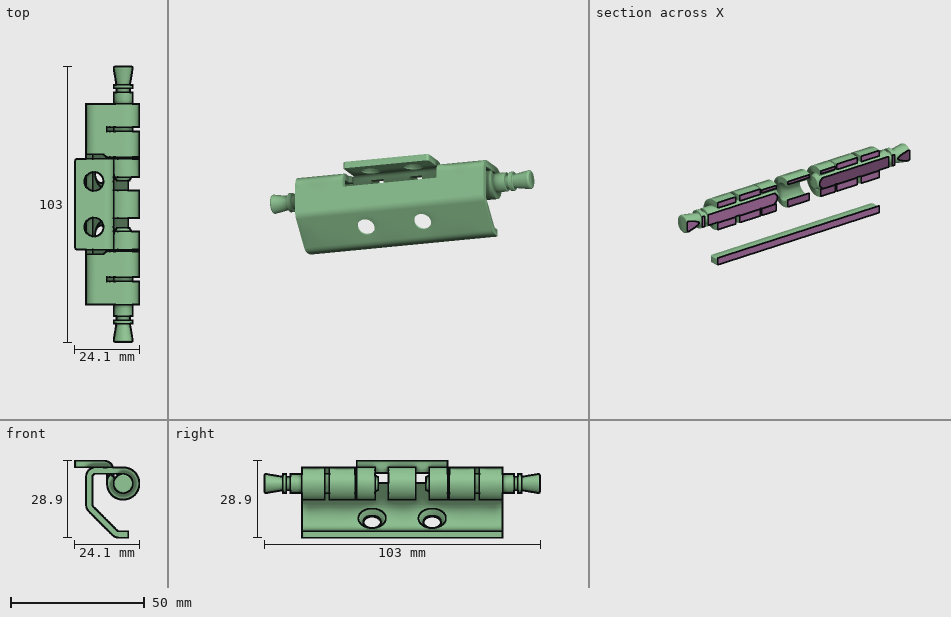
import cadquery as cq
import math


SHEET = 2.5
PIN_RADIUS = 3.6
KNUCKLE_RADIUS = PIN_RADIUS + SHEET
OUTER_BEND = 3.5
INNER_BEND = OUTER_BEND - SHEET
CORNER_ROUND = 1.0
CURL_SWEEP = 305.0
CUT_MARGIN = 1.0

BRACKET_LENGTH = 75.0
BRACKET_LEFT = -13.9
BRACKET_BOTTOM = -20.3
WALL_CORNER_Z = -9.4
LIP_END = 2.0
NOTCH_LENGTH = 35.2
NOTCH_CHAMFER = 1.0
NOTCH_FLOOR = 0.2
NOTCH_WIDE_LEFT = -7.3
SLIT_WIDTH = 1.6
SLIT_Y = 28.0
SLIT_LEFT = -6.2
SCREW_HOLE_DIAMETER = 6.6
SCREW_HEAD_DIAMETER = 10.3
SCREW_SPACING = 22.5
SCREW_HEAD_ANGLE = 90.0
SCREW_Z = -14.7

LEAF_LENGTH = 34.0
LEAF_LEFT = -18.0
LEAF_HOLE_DIAMETER = 7.0
LEAF_HOLE_X = -10.9
LEAF_HOLE_SPACING = 17.0
WINDOW_INNER_Y = 5.2
WINDOW_OUTER_Y = 10.1
WINDOW_TOP = 3.9

PIN_INNER_Y = 8.9
PIN_END_RADIUS = 2.4
PIN_END_TAPER_ANGLE = 30.0
SHOULDER_Y = 41.8
COLLAR_INNER_Y = 43.3
COLLAR_OUTER_Y = 44.6
PIN_TIP_Y = 51.5
NECK_RADIUS = 2.6
TIP_ROUND = 0.7
FLARE_FILLET = 0.3


def along_y(profile, length):
    """Extrude a closed XZ profile by the length, centred on Y = 0."""
    return profile.extrude(length / 2, both=True)


def cutter_box(x_range, y_range, z_range):
    """Box between the given lower and upper limits."""
    limits = (x_range, y_range, z_range)
    sizes = [high - low for low, high in limits]
    corner = cq.Vector(*[low for low, high in limits])
    return cq.Workplane(cq.Solid.makeBox(*sizes, pnt=corner))


def round_bends(sheet, corners, radius):
    """Round the bend edges along Y that pass through the given XZ corners."""
    for x, z in corners:
        sheet = sheet.edges(cq.selectors.NearestToPointSelector((x, 0, z))).fillet(radius)
    return sheet


def curl(start_angle, sweep, length):
    """Part ring around the pin, from an angle above +X through a signed sweep, in degrees."""
    def point(radius, angle):
        turn = math.radians(angle)
        return (radius * math.cos(turn), radius * math.sin(turn))

    middle_angle = start_angle + sweep / 2
    end_angle = start_angle + sweep
    profile = (
        cq.Workplane("XZ")
        .moveTo(*point(KNUCKLE_RADIUS, start_angle))
        .threePointArc(point(KNUCKLE_RADIUS, middle_angle), point(KNUCKLE_RADIUS, end_angle))
        .lineTo(*point(PIN_RADIUS, end_angle))
        .threePointArc(point(PIN_RADIUS, middle_angle), point(PIN_RADIUS, start_angle))
        .close()
    )
    return along_y(profile, length)


def bracket_sheet():
    """Top flange, upright wall, 45 degree flank and lip, with the curl at the flange end."""
    left = BRACKET_LEFT
    inner_left = left + SHEET
    inner_top = PIN_RADIUS
    inner_bottom = BRACKET_BOTTOM + SHEET
    corner_shift = SHEET * math.tan(math.radians(45 / 2))

    top_outer = (left, KNUCKLE_RADIUS)
    wall_outer = (left, WALL_CORNER_Z)
    lip_outer = (left + WALL_CORNER_Z - BRACKET_BOTTOM, BRACKET_BOTTOM)
    top_inner = (inner_left, inner_top)
    wall_inner = (inner_left, WALL_CORNER_Z + corner_shift)
    lip_inner = (lip_outer[0] + corner_shift, inner_bottom)

    profile = cq.Workplane("XZ").polyline([
        (0, KNUCKLE_RADIUS), top_outer, wall_outer, lip_outer, (LIP_END, BRACKET_BOTTOM),
        (LIP_END, inner_bottom), lip_inner, wall_inner, top_inner, (0, inner_top),
    ]).close()
    sheet = along_y(profile, BRACKET_LENGTH)
    sheet = round_bends(sheet, [top_outer, wall_outer, lip_outer], OUTER_BEND)
    sheet = round_bends(sheet, [top_inner, wall_inner, lip_inner], INNER_BEND)
    sheet = sheet.faces(">X").edges("|Z").fillet(CORNER_ROUND)
    return sheet.union(curl(90, -CURL_SWEEP, BRACKET_LENGTH))


def notch_cutter():
    """Opening for the leaf: chamfered through the flange and wall, and clear of the curl."""
    half = NOTCH_LENGTH / 2
    wide_half = half + NOTCH_CHAMFER
    narrow_left = NOTCH_WIDE_LEFT + NOTCH_CHAMFER
    left = BRACKET_LEFT - CUT_MARGIN
    right = KNUCKLE_RADIUS + CUT_MARGIN
    opening = (
        cq.Workplane("XY", origin=(0, 0, NOTCH_FLOOR))
        .polyline([
            (left, -wide_half), (NOTCH_WIDE_LEFT, -wide_half), (narrow_left, -half), (right, -half),
            (right, half), (narrow_left, half), (NOTCH_WIDE_LEFT, wide_half), (left, wide_half),
        ])
        .close()
        .extrude(right)
    )
    below_floor = cutter_box((-right, right), (-half, half), (-right, NOTCH_FLOOR))
    return opening.union(below_floor)


def slit_cutter(y):
    """Narrow slit across a bracket knuckle."""
    reach = KNUCKLE_RADIUS + CUT_MARGIN
    return cutter_box((SLIT_LEFT, reach), (y - SLIT_WIDTH / 2, y + SLIT_WIDTH / 2), (-reach, reach))


def screw_hole_cutter(y):
    """Hole square to the flank, countersunk from the inside of the bracket."""
    hole_radius = SCREW_HOLE_DIAMETER / 2
    head_radius = SCREW_HEAD_DIAMETER / 2
    sink_depth = (head_radius - hole_radius) / math.tan(math.radians(SCREW_HEAD_ANGLE / 2))
    outer_x = BRACKET_LEFT + WALL_CORNER_Z - SCREW_Z
    inward = cq.Vector(1, 0, 1).normalized()
    outer_centre = cq.Vector(outer_x, y, SCREW_Z)
    hole = cq.Solid.makeCylinder(
        hole_radius, SHEET + CUT_MARGIN, outer_centre - inward * CUT_MARGIN, inward
    )
    sink = cq.Solid.makeCone(
        hole_radius, head_radius, sink_depth, outer_centre + inward * (SHEET - sink_depth), inward
    )
    return cq.Workplane(hole.fuse(sink))


def make_bracket():
    bracket = bracket_sheet().cut(notch_cutter())
    for side in (-1, 1):
        bracket = bracket.cut(slit_cutter(side * SLIT_Y))
        bracket = bracket.cut(screw_hole_cutter(side * SCREW_SPACING / 2))
    return bracket


def leaf_sheet():
    """Mounting plate, bent down into a web that curls around the pins."""
    plate_bottom = KNUCKLE_RADIUS
    plate_top = plate_bottom + SHEET
    bend_outer = (-PIN_RADIUS, plate_top)
    bend_inner = (-KNUCKLE_RADIUS, plate_bottom)
    profile = cq.Workplane("XZ").polyline([
        (LEAF_LEFT, plate_top), bend_outer, (-PIN_RADIUS, 0),
        (-KNUCKLE_RADIUS, 0), bend_inner, (LEAF_LEFT, plate_bottom),
    ]).close()
    sheet = along_y(profile, LEAF_LENGTH)
    sheet = round_bends(sheet, [bend_outer], OUTER_BEND)
    sheet = round_bends(sheet, [bend_inner], INNER_BEND)
    sheet = sheet.faces("<X").edges("|Z").fillet(CORNER_ROUND)
    return sheet.union(curl(180, CURL_SWEEP, LEAF_LENGTH))


def window_cutter(side):
    """Gap beside the middle knuckle: a window in the web and a break through the curl."""
    y_range = sorted((side * WINDOW_INNER_Y, side * WINDOW_OUTER_Y))
    reach = KNUCKLE_RADIUS + CUT_MARGIN
    web_window = cutter_box((-reach, reach), y_range, (-reach, WINDOW_TOP))
    curl_break = cutter_box((-PIN_RADIUS, reach), y_range, (-reach, reach))
    return web_window.union(curl_break)


def make_leaf():
    leaf = leaf_sheet()
    for side in (-1, 1):
        leaf = leaf.cut(window_cutter(side))
        hole = cq.Solid.makeCylinder(
            LEAF_HOLE_DIAMETER / 2,
            SHEET,
            cq.Vector(LEAF_HOLE_X, side * LEAF_HOLE_SPACING / 2, KNUCKLE_RADIUS),
        )
        leaf = leaf.cut(cq.Workplane(hole))
    return leaf


def make_pin(side):
    """Turned pin on one side: tapered inner end, shaft, neck, collar and flared rounded tip."""
    taper_length = (PIN_RADIUS - PIN_END_RADIUS) / math.tan(math.radians(PIN_END_TAPER_ANGLE))
    taper_end_y = PIN_INNER_Y + taper_length
    flare_end_y = PIN_TIP_Y - TIP_ROUND
    tip_flat_radius = PIN_RADIUS - TIP_ROUND
    arc_offset = TIP_ROUND * math.sin(math.radians(45))
    arc_middle = (tip_flat_radius + arc_offset, flare_end_y + arc_offset)
    profile = (
        cq.Workplane("XY")
        .polyline([
            (0, PIN_INNER_Y),
            (PIN_END_RADIUS, PIN_INNER_Y),
            (PIN_RADIUS, taper_end_y),
            (PIN_RADIUS, SHOULDER_Y),
            (NECK_RADIUS, SHOULDER_Y),
            (NECK_RADIUS, COLLAR_INNER_Y),
            (PIN_RADIUS, COLLAR_INNER_Y),
            (PIN_RADIUS, COLLAR_OUTER_Y),
            (NECK_RADIUS, COLLAR_OUTER_Y),
            (PIN_RADIUS, flare_end_y),
        ])
        .threePointArc(arc_middle, (tip_flat_radius, PIN_TIP_Y))
        .lineTo(0, PIN_TIP_Y)
        .close()
    )
    pin = profile.revolve(360, (0, 0, 0), (0, 1, 0))
    flare_foot = cq.selectors.BoxSelector(
        (-NECK_RADIUS, COLLAR_OUTER_Y - FLARE_FILLET, -NECK_RADIUS),
        (NECK_RADIUS, COLLAR_OUTER_Y + FLARE_FILLET, NECK_RADIUS),
    )
    foot_edges = pin.edges(flare_foot).edges(cq.selectors.RadiusNthSelector(0))
    pin = foot_edges.fillet(FLARE_FILLET)
    return pin if side > 0 else pin.mirror("XZ")


bracket = make_bracket()
leaf = make_leaf()
pins = [make_pin(side) for side in (-1, 1)]

result = cq.Compound.makeCompound([body.solids().val() for body in (bracket, leaf, *pins)])